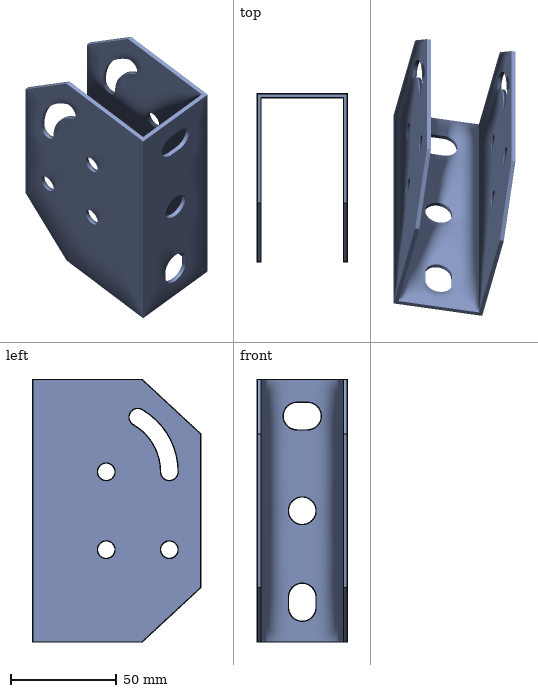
import cadquery as cq
import math

width = 43.0
depth = 80.0
height = 125.0
thickness = 2.0

corner_depth = 28.0
corner_height = 26.0

flange_hole_diameter = 8.2
pivot_setback = 35.0
pivot_height = 18.5
slot_radius = 30.0
slot_angle = 60.0

web_hole_diameter = 13.0
web_slot_length = 18.0
upper_slot_height = 45.0
lower_slot_height = -43.5

back_y = depth / 2
front_y = -depth / 2
pivot_y = back_y - pivot_setback


def make_channel():
    """U-shaped channel with the free flange corners cut away."""
    top_z = height / 2
    side_outline = [
        (back_y, -top_z),
        (back_y, top_z),
        (front_y + corner_depth, top_z),
        (front_y, top_z - corner_height),
        (front_y, corner_height - top_z),
        (front_y + corner_depth, -top_z),
    ]
    block = cq.Workplane("YZ").polyline(side_outline).close().extrude(width / 2, both=True)
    cavity = cq.Workplane("XY").box(width - 2 * thickness, depth, height)
    return block.cut(cavity.translate((0, -thickness, 0)))


def make_flange_holes():
    """Round holes crossing both flanges."""
    centres = [
        (pivot_y, pivot_height),
        (pivot_y, -pivot_height),
        (pivot_y - slot_radius, -pivot_height),
    ]
    holes = cq.Workplane("YZ").pushPoints(centres).circle(flange_hole_diameter / 2)
    return holes.extrude(width, both=True)


def make_curved_slot():
    """Round-ended slot centred on the upper pivot, crossing both flanges."""
    end_radius = flange_hole_diameter / 2
    outer = slot_radius + end_radius
    inner = slot_radius - end_radius

    def around_pivot(radius, degrees):
        angle = math.radians(degrees)
        return (pivot_y - radius * math.cos(angle), pivot_height + radius * math.sin(angle))

    tip_radius = math.hypot(slot_radius, end_radius)
    tip_angle = math.degrees(math.atan2(end_radius, slot_radius))

    return (
        cq.Workplane("YZ")
        .moveTo(*around_pivot(outer, 0))
        .threePointArc(around_pivot(outer, slot_angle / 2), around_pivot(outer, slot_angle))
        .threePointArc(around_pivot(tip_radius, slot_angle + tip_angle), around_pivot(inner, slot_angle))
        .threePointArc(around_pivot(inner, slot_angle / 2), around_pivot(inner, 0))
        .threePointArc(around_pivot(tip_radius, -tip_angle), around_pivot(outer, 0))
        .close()
        .extrude(width, both=True)
    )


def make_web_openings():
    """Horizontal slot, round hole and vertical slot through the web."""
    web = cq.Workplane("XZ", origin=(0, back_y, 0))
    reach = 2 * thickness
    hole = web.circle(web_hole_diameter / 2).extrude(reach)
    upper = web.center(0, upper_slot_height).slot2D(web_slot_length, web_hole_diameter).extrude(reach)
    lower = web.center(0, lower_slot_height).slot2D(web_slot_length, web_hole_diameter, 90).extrude(reach)
    return hole.union(upper).union(lower)


result = (
    make_channel()
    .cut(make_flange_holes())
    .cut(make_curved_slot())
    .cut(make_web_openings())
)